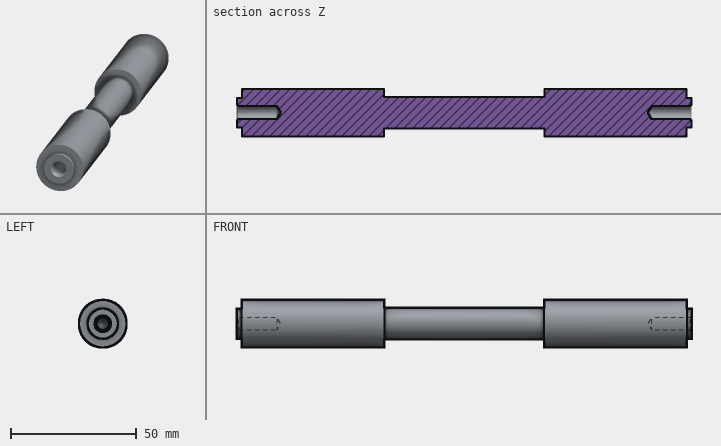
import cadquery as cq
import math

total_length = 181.0
middle_diameter = 12.7
middle_length = 63.5
sleeve_diameter = 19.05
stub_diameter = 12.0
stub_length = 2.0

hole_diameter = 5.0
hole_mouth_diameter = 6.5
hole_depth = 16.0
drill_point_angle = 118.0

end_x = total_length / 2
sleeve_inner_x = middle_length / 2
sleeve_outer_x = end_x - stub_length
sleeve_length = sleeve_outer_x - sleeve_inner_x
hole_radius = hole_diameter / 2
mouth_radius = hole_mouth_diameter / 2
mouth_chamfer = mouth_radius - hole_radius
drill_point_depth = hole_radius / math.tan(math.radians(drill_point_angle / 2))


def cylinder_along_x(start, length, diameter):
    """Solid cylinder on the X axis, beginning at the given X position."""
    return cq.Workplane("YZ", origin=(start, 0, 0)).circle(diameter / 2).extrude(length)


def end_hole():
    """Drilled hole at the +X end: 45 degree chamfered mouth, straight bore, conical bottom."""
    bore_end_x = end_x - hole_depth
    half_profile = (
        cq.Workplane("XY")
        .moveTo(end_x, 0)
        .lineTo(end_x, mouth_radius)
        .lineTo(end_x - mouth_chamfer, hole_radius)
        .lineTo(bore_end_x, hole_radius)
        .lineTo(bore_end_x - drill_point_depth, 0)
        .close()
    )
    return half_profile.revolve(360, (0, 0, 0), (1, 0, 0))


def handle():
    """Thick sleeve with its end stub and blind hole, on the +X side."""
    sleeve = cylinder_along_x(sleeve_inner_x, sleeve_length, sleeve_diameter)
    stub = cylinder_along_x(sleeve_outer_x, stub_length, stub_diameter)
    return sleeve.union(stub).cut(end_hole())


middle_bar = cylinder_along_x(-sleeve_inner_x, middle_length, middle_diameter)
right_handle = handle()
left_handle = right_handle.mirror("YZ")

result = middle_bar.union(right_handle).union(left_handle)